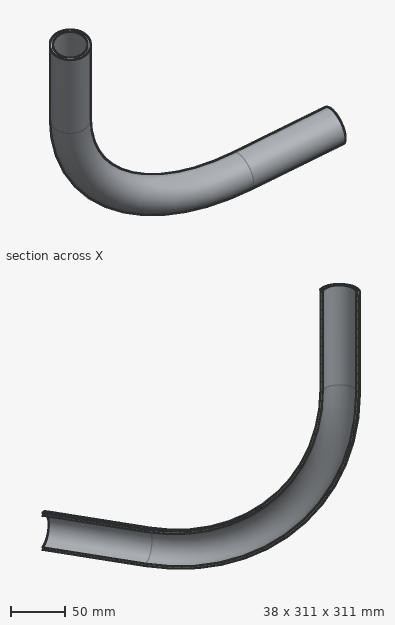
import cadquery as cq
import math

overall_size = 311.0
outer_diameter = 38.0
bore_diameter = 32.0
bend_radius = 190.5

leg_length = overall_size - bend_radius - outer_diameter / 2
leg_reach = bend_radius + leg_length

bend_offset = bend_radius * (1 - math.sqrt(0.5))
centreline = (
    cq.Workplane("YZ")
    .moveTo(0, leg_reach)
    .lineTo(0, bend_radius)
    .threePointArc((bend_offset, bend_offset), (bend_radius, 0))
    .lineTo(leg_reach, 0)
)

result = (
    cq.Workplane("XY", origin=(0, 0, leg_reach))
    .circle(outer_diameter / 2)
    .circle(bore_diameter / 2)
    .sweep(centreline)
)